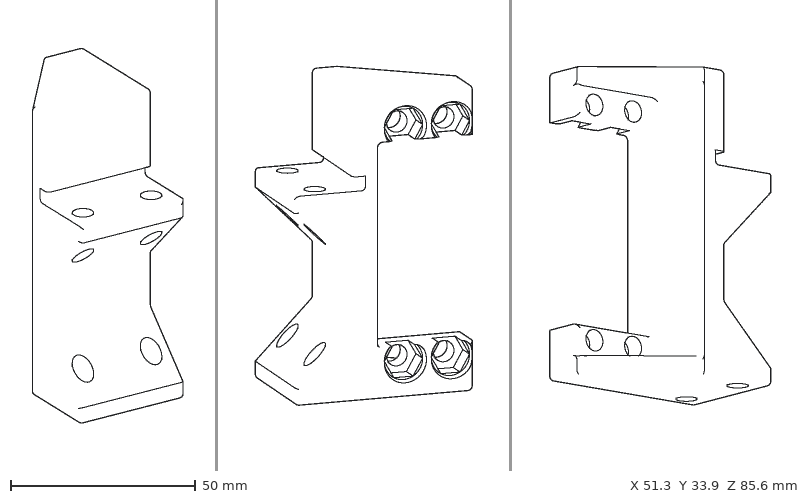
import cadquery as cq
import math

length = 51.3
depth = 33.9
height = 85.6

wall_left = 27.3
wall_right = 34.85
lug_height = 14.0
lug_depth = 12.6
plate_thickness = 5.3
round_radius = 1.4

shelf_top = 58.8
flange_tip = 5.05

undercut_left = 31.25
undercut_height = 4.0
undercut_radius = 1.1

lug_hole_diameter = 5.9
lug_hole_first_x = 6.2
lug_hole_pitch = 13.5
lug_hole_height = 10.1
nut_corner_width = 11.05
nut_depth = 6.9
mouth_diameter = 12.2
mouth_depth = 1.5

flange_hole_diameter = 5.8
flange_hole_x = 43.7
flange_hole_first_y = 5.8
flange_hole_pitch = 22.0

pick_slack = 0.04

lug_front = depth - lug_depth
slope_rise = length - wall_right
upper_slope_end = shelf_top - flange_tip
lower_slope_start = flange_tip
lower_bend = lower_slope_start + slope_rise
upper_bend = upper_slope_end - slope_rise


def with_upper_twin(body):
    """The body and its mirror image about mid height."""
    return body.union(body.mirror("XY", (0, 0, height / 2)))


def edges_within(body, x_range, y_range, z_range):
    """Edges that lie completely inside the given ranges."""
    low, high = zip(x_range, y_range, z_range)
    box = cq.selectors.BoxSelector(
        [value - pick_slack for value in low],
        [value + pick_slack for value in high],
        boundingbox=True,
    )
    return body.edges(box).vals()


def make_blank():
    """Wall, flanges and tapered arms, sharp except for the bends where the slopes meet the wall."""
    outline = [
        (0, 0),
        (length, 0),
        (length, lower_slope_start),
        (wall_right, lower_bend),
        (wall_right, upper_bend),
        (length, upper_slope_end),
        (length, shelf_top),
        (wall_right, shelf_top),
        (wall_right, height),
        (0, height),
        (0, height - lug_height),
        (wall_left, height - lug_height),
        (wall_left, lug_height),
        (0, lug_height),
    ]
    blank = cq.Workplane("XZ").polyline(outline).close().extrude(-depth)
    gap_between_plates = (
        cq.Workplane("XY", origin=(0, 0, plate_thickness))
        .box(wall_left, lug_front, height - 2 * plate_thickness, centered=False)
    )
    taper = cq.Workplane("XY").polyline([(0, 0), (wall_left, 0), (0, lug_front)]).close().extrude(height)
    blank = blank.cut(gap_between_plates).cut(taper)
    bends = edges_within(blank, (wall_right, wall_right), (0, depth), (0, lower_bend))
    bends += edges_within(blank, (wall_right, wall_right), (0, depth), (upper_bend, upper_slope_end))
    bends = [edge for edge in bends if edge.BoundingBox().ylen > pick_slack]
    return blank.newObject(bends).fillet(round_radius)


def plate_edge_rounding():
    """Material outside the rounding along the inner slanted edge of each plate."""
    slant_length = math.hypot(wall_left, lug_front)
    along_slant = (wall_left / slant_length, -lug_front / slant_length, 0)
    into_plate = (lug_front / slant_length, wall_left / slant_length, 0)
    section = cq.Plane(origin=(0, lug_front, plate_thickness), xDir=into_plate, normal=along_slant)
    arc_mid = round_radius * (1 - math.sqrt(0.5))
    strip = (
        cq.Workplane(section)
        .moveTo(0, -round_radius)
        .threePointArc((arc_mid, -arc_mid), (round_radius, 0))
        .lineTo(0, 0)
        .close()
        .extrude(slant_length + depth, both=True)
    )
    plate_space = cq.Workplane("XY").box(wall_left, lug_front, plate_thickness, centered=False)
    return with_upper_twin(strip.intersect(plate_space))


def round_arm_insides(body):
    """Inside corners where the arms meet the wall, and the inner front edges of the lugs."""
    to_wall = (0, wall_left)
    at_wall = (wall_left, wall_left)
    picked = []
    for arm_outside, toward_middle in ((0, 1), (height, -1)):
        plate_z = arm_outside + toward_middle * plate_thickness
        rounding_z = arm_outside + toward_middle * (plate_thickness - round_radius)
        lug_z = arm_outside + toward_middle * lug_height
        lug_span = sorted((rounding_z, lug_z))
        picked += edges_within(body, at_wall, (0, lug_front), (plate_z, plate_z))
        picked += edges_within(body, at_wall, (lug_front, lug_front), lug_span)
        picked += edges_within(body, at_wall, (lug_front, depth), (lug_z, lug_z))
        picked += edges_within(body, to_wall, (lug_front, lug_front), (lug_z, lug_z))
        picked += edges_within(body, (0, 0), (lug_front, lug_front), lug_span)
    return body.newObject(picked).fillet(round_radius)


def round_outside(body):
    """Bottom and top rims, flange tip, back outline of the arms, both outlines right of the wall."""
    all_x, all_y, all_z = (0, length), (0, depth), (0, height)
    front, back = (0, 0), (depth, depth)
    tip_x = (length, length)
    picked = []
    for rim_z in (0, height):
        picked += edges_within(body, all_x, all_y, (rim_z, rim_z))
    picked += edges_within(body, tip_x, all_y, (shelf_top, shelf_top))
    for z_range in ((lower_slope_start, upper_slope_end), (shelf_top, height)):
        for side in (front, back):
            outline = edges_within(body, (wall_right, length), side, z_range)
            picked += [edge for edge in outline if edge.BoundingBox().zlen > pick_slack]
    for side in (front, back):
        picked += edges_within(body, tip_x, side, (0, lower_slope_start))
        picked += edges_within(body, tip_x, side, (upper_slope_end, shelf_top))
    picked += edges_within(body, (0, wall_left), back, all_z)
    return body.newObject(picked).fillet(round_radius)


def undercut():
    """Slot behind the upper flange, rounded along its lower inner corner."""
    return (
        cq.Workplane("XY", origin=(undercut_left, 0, shelf_top))
        .box(length - undercut_left, depth, undercut_height, centered=False)
        .edges("<X and <Z")
        .fillet(undercut_radius)
    )


def lug_holes():
    """Screw holes along Y through the lugs, with round-mouthed hexagonal nut pockets in the back."""
    centers = [(lug_hole_first_x + i * lug_hole_pitch, lug_hole_height) for i in range(2)]
    screws = cq.Workplane("XZ").pushPoints(centers).circle(lug_hole_diameter / 2).extrude(-depth)
    back = cq.Workplane("XZ", origin=(0, depth, 0)).pushPoints(centers)
    nuts = back.polygon(6, nut_corner_width).extrude(nut_depth)
    flare = math.degrees(math.atan((mouth_diameter - nut_corner_width) / 2 / mouth_depth))
    mouths = back.circle(mouth_diameter / 2).extrude(mouth_depth, taper=flare)
    return with_upper_twin(screws.union(nuts).union(mouths))


def flange_holes():
    """Screw holes along Z through both flanges."""
    centers = [(flange_hole_x, flange_hole_first_y + i * flange_hole_pitch) for i in range(2)]
    return cq.Workplane("XY").pushPoints(centers).circle(flange_hole_diameter / 2).extrude(height)


bracket = make_blank().cut(plate_edge_rounding())
bracket = round_outside(round_arm_insides(bracket))
result = bracket.cut(undercut()).cut(lug_holes()).cut(flange_holes())